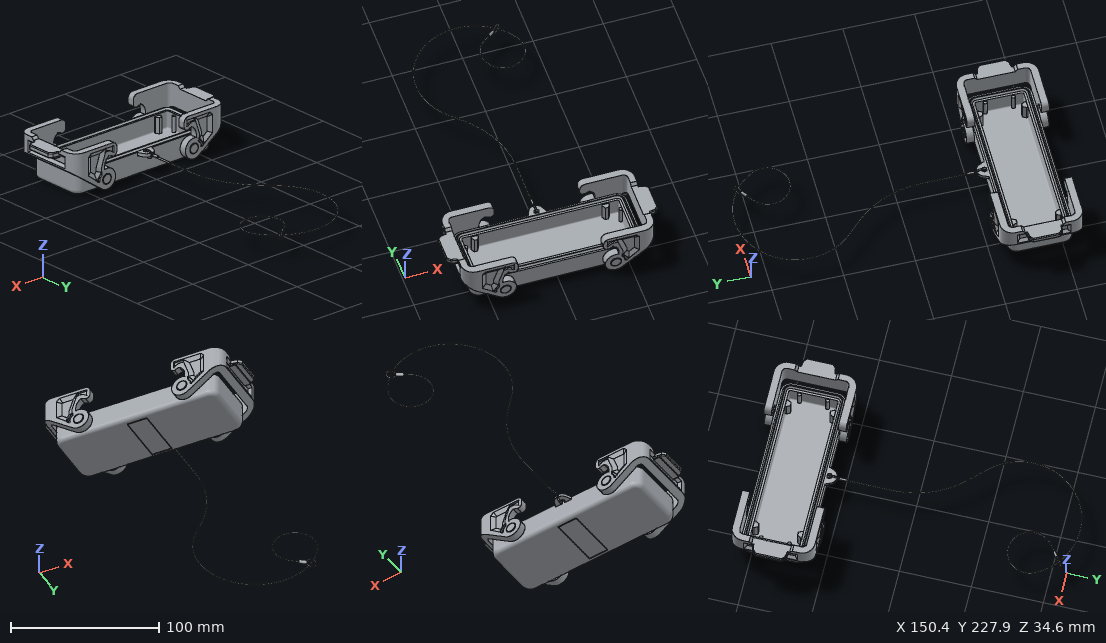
import cadquery as cq
import math


TRAY_HALF_X = 61.5
TRAY_HALF_Y = 22.8
TRAY_CORNER_R = 7.0
TRAY_BOTTOM_Z = 0.57
TRAY_BOTTOM_FILLET = 3.5
LEDGE_Z = 17.8
BEAD_TOP_Z = 19.1
BEAD_INSET = 1.4
BEAD_WIDTH = 2.7
BEAD_CREST = 0.5
WALL = 5.7
FLOOR_Z = 4.8
FLOOR_FILLET = 1.1
PAD_X = 14.8
PAD_Y = 37.0

SIDE_RIB_X = 46.5
RIB_TOP_Z = 16.6
SIDE_RIB_HEIGHT = 3.5
SIDE_RIB_SHOULDER = 1.0
SIDE_RIB_BASE_HALF = 2.5
SIDE_RIB_TIP_HALF = 1.1
END_RIB_Y = 9.8
END_RIB_R = 1.4
END_RIB_HEIGHT = 2.0

TOP_Z = 34.6
LEVER_OUT_X = 68.4
LEVER_IN_X = 63.5
LEVER_OUT_Y = 28.7
LEVER_IN_Y = 23.2
LEVER_OUT_R = 9.0
LEVER_IN_R = 3.2
LEVER_SLOPE = math.radians(35.6)
PIVOT_X = 39.2
PIVOT_Z = 9.5
BOSS_R = 7.7
PIN_R = 3.9
PIN_PROUD = 0.2
PIN_GROOVE = 0.5
POCKET_DEPTH = 1.8
POCKET_WALL_RUN = 3.2
POCKET_FIELD = [
    (53.5, 32.1), (39.6, 32.1), (44.2, 19.0), (44.2, 15.7),
    (48.3, 10.5), (55.8, 16.5), (55.8, 29.9),
]
BRANCH_DEPTH = 1.4
POCKET_HOOK_BRANCH = [
    (39.6, 32.1), (33.0, 32.1), (33.0, 27.3), (35.5, 29.0), (37.4, 29.6), (40.5, 29.5),
]
POCKET_PIVOT_BRANCH = [
    (48.3, 10.5), (46.5, 9.0), (45.5, 9.3), (45.3, 11.8), (43.5, 14.0), (43.5, 15.7), (44.2, 15.7),
]

HOOK_TIP_X = 30.3
HOOK_TOP_R = 4.0
THROAT_X = 41.2
THROAT_LOW_Z = 19.5
THROAT_MID = (39.6, 24.0)
THROAT_TOP = (37.4, 26.0)
THROAT_END = (35.5, 25.5)
HOOK_LIP = (33.7, 24.5)
HOOK_LIP_MID = (31.2, 25.5)
HOOK_LIP_TOP_Z = 27.8

TAB_END_X = 75.2
TAB_TOP_Z = 32.5
TAB_THICK = 3.9
TAB_CHAMFER = 0.7
TAB_RIB_X = 71.0
TAB_RIB_DROP = 1.0
TAB_ROOT_HALF_Y = 13.2
TAB_SHOULDER_X = 72.7
TAB_SHOULDER_HALF_Y = 11.6
TAB_END_HALF_Y = 9.3
NOTCH_TOP_HALF_Y = 15.0
END_POCKET_HALF_Y = 18.7
END_POCKET_Z = (22.0, 31.0)
END_POCKET_DEPTH = 2.0
END_POCKET_TAPER = 45

TOTAL_Y = 227.9
CABLE_R = 0.57
CABLE_Z = 16.5
BIG_LOOP_R = 42.2
SMALL_LOOP_R = 15.3
LOOP_JOIN_ANGLE = 29.4
FIRST_BEND_R = 68.4
NOOSE_ANGLE = 53.0
NOOSE_R = 3.2
FERRULE_LENGTH = 5.5
FERRULE_WIDTH = 1.5
FERRULE_FILLET = 0.5
NOOSE_FERRULE_HEIGHT = 3.0
LUG_FERRULE_Z = 16.9
LUG_FERRULE_START_Y = 31.2

LUG_Y = 24.4
LUG_R = 5.5
LUG_HOLE_R = 1.8
LUG_BASE_HALF_X = 6.5
LUG_THICK = 2.5
EYELET_Y = 27.1
EYELET_Z = 16.0
EYELET_R = 2.5


def rounded_block(half_x, half_y, corner_r, z_low, z_high, taper=0.0):
    outline = cq.Sketch().rect(2 * half_x, 2 * half_y).vertices().fillet(corner_r)
    plane = cq.Workplane("XY", origin=(0, 0, z_low))
    return plane.placeSketch(outline).extrude(z_high - z_low, taper=taper)


def tray_offset_block(inset, z_low, z_high, taper=0.0):
    """Block following the tray outline, set in by a constant distance."""
    return rounded_block(TRAY_HALF_X - inset, TRAY_HALF_Y - inset,
                         TRAY_CORNER_R - inset, z_low, z_high, taper)


def mirrored(shape, plane):
    return shape.union(shape.mirror(plane))


def make_bead():
    """Sealing bead on the tray ledge: a ridge with two sloped flanks."""
    flank = (BEAD_WIDTH - BEAD_CREST) / 2
    slope = math.degrees(math.atan2(flank, BEAD_TOP_Z - LEDGE_Z))
    outer = tray_offset_block(BEAD_INSET, LEDGE_Z, BEAD_TOP_Z, slope)
    inner = tray_offset_block(BEAD_INSET + BEAD_WIDTH, LEDGE_Z, BEAD_TOP_Z, -slope)
    return outer.cut(inner)


def make_cavity_ribs():
    height = RIB_TOP_Z - TRAY_BOTTOM_Z
    base = cq.Workplane("XY", origin=(0, 0, TRAY_BOTTOM_Z))
    wall_y = TRAY_HALF_Y - WALL
    tip_y = wall_y - SIDE_RIB_HEIGHT
    shoulder_y = wall_y - SIDE_RIB_SHOULDER
    side = base.polyline([
        (SIDE_RIB_X - SIDE_RIB_BASE_HALF, wall_y + WALL / 2),
        (SIDE_RIB_X - SIDE_RIB_BASE_HALF, shoulder_y),
        (SIDE_RIB_X - SIDE_RIB_TIP_HALF, tip_y),
        (SIDE_RIB_X + SIDE_RIB_TIP_HALF, tip_y),
        (SIDE_RIB_X + SIDE_RIB_BASE_HALF, shoulder_y),
        (SIDE_RIB_X + SIDE_RIB_BASE_HALF, wall_y + WALL / 2),
    ]).close().extrude(height)
    end_x = TRAY_HALF_X - WALL - END_RIB_HEIGHT + END_RIB_R
    end = base.center(end_x, END_RIB_Y).circle(END_RIB_R).extrude(height)
    return mirrored(mirrored(side.union(end), "YZ"), "XZ")


def make_tray():
    tray = tray_offset_block(0, TRAY_BOTTOM_Z, LEDGE_Z)
    tray = tray.faces("<Z").edges().fillet(TRAY_BOTTOM_FILLET)
    tray = tray.union(make_bead())
    cavity = tray_offset_block(WALL, FLOOR_Z, TOP_Z)
    cavity = cavity.faces("<Z").edges().fillet(FLOOR_FILLET)
    tray = tray.cut(cavity.cut(make_cavity_ribs()))
    pad = cq.Workplane("XY").rect(PAD_X, PAD_Y).extrude(2 * TRAY_BOTTOM_Z)
    return tray.union(pad)


def lever_side_profile():
    """Side outline of the +X lever, full solid width in Y."""
    tangent_x = PIVOT_X + BOSS_R * math.sin(LEVER_SLOPE)
    tangent_z = PIVOT_Z - BOSS_R * math.cos(LEVER_SLOPE)
    end_low_z = tangent_z + (LEVER_OUT_X - tangent_x) * math.tan(LEVER_SLOPE)
    throat_z = PIVOT_Z + math.sqrt(BOSS_R ** 2 - (THROAT_X - PIVOT_X) ** 2)
    corner = HOOK_TOP_R * (1 - math.sqrt(0.5))
    profile = cq.Workplane("XZ").moveTo(LEVER_OUT_X, end_low_z).lineTo(tangent_x, tangent_z)
    profile = profile.threePointArc((PIVOT_X - BOSS_R, PIVOT_Z), (THROAT_X, throat_z))
    profile = profile.lineTo(THROAT_X, THROAT_LOW_Z)
    profile = profile.threePointArc(THROAT_MID, THROAT_TOP).lineTo(*THROAT_END)
    profile = profile.lineTo(*HOOK_LIP)
    profile = profile.threePointArc(HOOK_LIP_MID, (HOOK_TIP_X, HOOK_LIP_TOP_Z))
    profile = profile.lineTo(HOOK_TIP_X, TOP_Z - HOOK_TOP_R)
    profile = profile.threePointArc((HOOK_TIP_X + corner, TOP_Z - corner),
                                    (HOOK_TIP_X + HOOK_TOP_R, TOP_Z))
    return profile.lineTo(LEVER_OUT_X, TOP_Z).close()


def make_side_pocket():
    """Recess in the outer -Y face of the +X lever: tapered field plus two shallow branches."""
    face = cq.Workplane("XZ", origin=(0, -LEVER_OUT_Y, 0))
    slope = math.degrees(math.atan2(POCKET_WALL_RUN, POCKET_DEPTH))
    pocket = face.polyline(POCKET_FIELD).close().extrude(-POCKET_DEPTH, taper=slope)
    for branch in (POCKET_HOOK_BRANCH, POCKET_PIVOT_BRANCH):
        pocket = pocket.union(face.polyline(branch).close().extrude(-BRANCH_DEPTH))
    return pocket


def make_finger_tab():
    half_outline = [
        (LEVER_IN_X, TAB_ROOT_HALF_Y),
        (TAB_SHOULDER_X, TAB_SHOULDER_HALF_Y),
        (TAB_END_X, TAB_END_HALF_Y),
    ]
    outline = half_outline + [(x, -y) for x, y in reversed(half_outline)]
    plate = cq.Workplane("XY", origin=(0, 0, TAB_TOP_Z - TAB_THICK))
    plate = plate.polyline(outline).close().extrude(TAB_THICK)
    plate = plate.edges("#Z").edges("not <X").chamfer(TAB_CHAMFER)
    rib_low_z = TAB_TOP_Z - TAB_THICK - TAB_RIB_DROP
    rib = cq.Workplane("YZ", origin=(LEVER_IN_X, 0, rib_low_z + TAB_THICK / 2))
    rib = rib.rect(2 * TAB_SHOULDER_HALF_Y, TAB_THICK).extrude(TAB_RIB_X - LEVER_IN_X)
    return plate.union(rib)


def make_end_cuts():
    """Top notch over the finger tab and the tapered recess in the end face."""
    notch = cq.Workplane("YZ", origin=(LEVER_IN_X, 0, 0)).polyline([
        (-TAB_ROOT_HALF_Y, TAB_TOP_Z),
        (TAB_ROOT_HALF_Y, TAB_TOP_Z),
        (NOTCH_TOP_HALF_Y, TOP_Z),
        (-NOTCH_TOP_HALF_Y, TOP_Z),
    ]).close().extrude(LEVER_OUT_X - LEVER_IN_X)
    low, high = END_POCKET_Z
    recess = cq.Workplane("YZ", origin=(LEVER_OUT_X, 0, (low + high) / 2))
    recess = recess.rect(2 * END_POCKET_HALF_Y, high - low)
    return notch.union(recess.extrude(-END_POCKET_DEPTH, taper=END_POCKET_TAPER))


def make_pin():
    """Hinge pin from the tray side wall to just proud of the -Y lever face."""
    face = cq.Workplane("XZ", origin=(PIVOT_X, -TRAY_HALF_Y, PIVOT_Z))
    length = LEVER_OUT_Y + PIN_PROUD - TRAY_HALF_Y
    return face.circle(PIN_R).extrude(length).faces("<Y").chamfer(PIN_PROUD, PIN_GROOVE)


def make_lever():
    """Lever on the +X end."""
    outer = rounded_block(LEVER_OUT_X, LEVER_OUT_Y, LEVER_OUT_R, 0, TOP_Z)
    inner = rounded_block(LEVER_IN_X, LEVER_IN_Y, LEVER_IN_R, 0, TOP_Z)
    side = lever_side_profile().extrude(LEVER_OUT_Y, both=True)
    lever = side.intersect(outer.cut(inner))
    lever = lever.cut(mirrored(make_side_pocket(), "XZ")).cut(make_end_cuts())
    return lever.union(make_finger_tab()).union(mirrored(make_pin(), "XZ"))


def polar(centre, radius, degrees):
    angle = math.radians(degrees)
    return (centre[0] + radius * math.cos(angle), centre[1] + radius * math.sin(angle))


def make_ferrule(centre, degrees, width, height):
    ferrule = cq.Workplane("XY").box(FERRULE_LENGTH, width, height).edges("|X").fillet(FERRULE_FILLET)
    return ferrule.rotate((0, 0, 0), (0, 0, 1), degrees).translate(centre)


def make_ring(centre, radius, degrees):
    """Upright wire ring whose plane holds the given heading in XY."""
    ring = cq.Solid.makeTorus(radius, CABLE_R, cq.Vector(0, 0, 0), cq.Vector(0, 1, 0))
    return cq.Workplane(ring).rotate((0, 0, 0), (0, 0, 1), degrees).translate(centre)


def make_cable():
    """Cable from the lug: bend left, big loop, small loop, then back to a noose on the big loop."""
    big_y = TOTAL_Y - LEVER_OUT_Y - PIN_PROUD - CABLE_R - BIG_LOOP_R
    big = (0, big_y)
    small = polar(big, BIG_LOOP_R - SMALL_LOOP_R, LOOP_JOIN_ANGLE)
    noose = polar(big, BIG_LOOP_R, NOOSE_ANGLE)

    leave = 225
    bend_y = big_y - BIG_LOOP_R * math.sqrt(2) - FIRST_BEND_R * (math.sqrt(2) - 1)
    bend = (-FIRST_BEND_R, bend_y)

    gap_x, gap_y = noose[0] - small[0], noose[1] - small[1]
    noose_heading = math.degrees(math.atan2(gap_y, gap_x))
    tangent_offset = math.degrees(math.acos(SMALL_LOOP_R / math.hypot(gap_x, gap_y)))
    tail_angle = noose_heading + tangent_offset
    tail_heading = tail_angle - 90
    noose_ferrule = polar(noose, -NOOSE_R - FERRULE_LENGTH / 2, tail_heading)
    small_mid_angle = (LOOP_JOIN_ANGLE + tail_angle - 360) / 2

    path = cq.Workplane("XY", origin=(0, 0, CABLE_Z))
    path = path.moveTo(0, EYELET_Y + EYELET_R).lineTo(0, bend_y)
    path = path.threePointArc(polar(bend, FIRST_BEND_R, 22.5), polar(bend, FIRST_BEND_R, 45))
    path = path.lineTo(*polar(big, BIG_LOOP_R, leave))
    path = path.threePointArc(polar(big, BIG_LOOP_R, (leave + LOOP_JOIN_ANGLE) / 2),
                              polar(big, BIG_LOOP_R, LOOP_JOIN_ANGLE))
    path = path.threePointArc(polar(small, SMALL_LOOP_R, small_mid_angle),
                              polar(small, SMALL_LOOP_R, tail_angle))
    path = path.lineTo(*noose_ferrule)
    section = cq.Workplane("XZ", origin=(0, EYELET_Y + EYELET_R, CABLE_Z)).circle(CABLE_R)
    cable = section.sweep(path)

    cable = cable.union(make_ring((*noose, CABLE_Z), NOOSE_R, tail_heading))
    cable = cable.union(make_ferrule((*noose_ferrule, CABLE_Z), tail_heading,
                                     FERRULE_WIDTH, NOOSE_FERRULE_HEIGHT))
    lug_ferrule = (0, LUG_FERRULE_START_Y + FERRULE_LENGTH / 2, LUG_FERRULE_Z)
    cable = cable.union(make_ferrule(lug_ferrule, 90, FERRULE_WIDTH, FERRULE_WIDTH))
    return cable.union(make_ring((0, EYELET_Y, EYELET_Z), EYELET_R, 90))


def make_lug():
    """Ear on the +Y wall with the hole that holds the cable eyelet."""
    wall_y = TRAY_HALF_Y
    gap = math.hypot(LUG_BASE_HALF_X, LUG_Y - wall_y)
    touch = math.atan2(wall_y - LUG_Y, LUG_BASE_HALF_X) + math.acos(LUG_R / gap)
    touch_x = LUG_R * math.cos(touch)
    touch_y = LUG_Y + LUG_R * math.sin(touch)
    root_y = wall_y - BEAD_INSET
    ear = cq.Workplane("XY", origin=(0, 0, LEDGE_Z - LUG_THICK))
    ear = ear.moveTo(-LUG_BASE_HALF_X, root_y).lineTo(-LUG_BASE_HALF_X, wall_y).lineTo(-touch_x, touch_y)
    ear = ear.threePointArc((0, LUG_Y + LUG_R), (touch_x, touch_y))
    ear = ear.lineTo(LUG_BASE_HALF_X, wall_y).lineTo(LUG_BASE_HALF_X, root_y).close().extrude(LUG_THICK)
    return ear.faces(">Z").workplane(origin=(0, LUG_Y, 0)).hole(2 * LUG_HOLE_R)


result = make_tray().union(mirrored(make_lever(), "YZ")).union(make_lug()).union(make_cable())